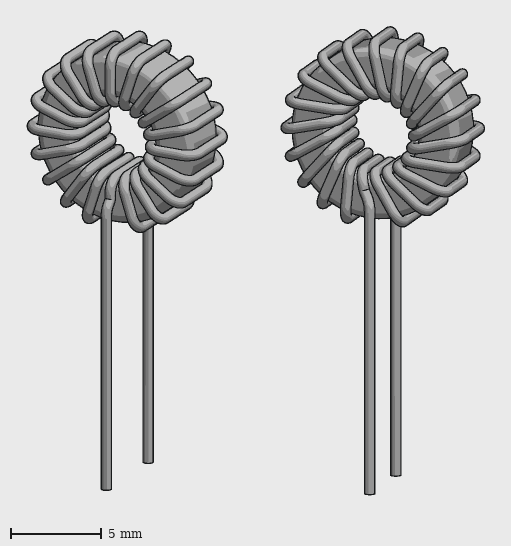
import cadquery as cq
import math

core_diameter = 9.75
bore_diameter = 5.0
core_thickness = 3.45
core_edge_radius = 0.5

wire_diameter = 0.6
turn_positions = 20
first_angle = -90
winding_diameter = 10.95
winding_width = 4.65

overall_height = 25.7
lead_pitch = 5.0
lead_bend_end_z = -4.25
lead_straight = 0.23
lead_start_handle = 0.33
lead_end_handle = 0.72

turn_angle = 360 / turn_positions
wire_radius = wire_diameter / 2
bend_radius = core_edge_radius + wire_radius
inner_radius = bore_diameter / 2 - wire_radius
outer_radius = winding_diameter / 2 - wire_radius
lead_run = bend_radius + lead_straight
face_y = winding_width / 2 - wire_radius
lead_y = lead_pitch / 2
lead_end_z = winding_diameter / 2 - overall_height

point_tolerance = 2.57e-07


def make_core():
    back_face = cq.Workplane("XZ", origin=(0, core_thickness / 2, 0))
    core = back_face.circle(core_diameter / 2).circle(bore_diameter / 2).extrude(core_thickness)
    return core.edges().fillet(core_edge_radius)


def ring_point(radius, angle, y):
    """Point at a polar position about the core axis."""
    turn = math.radians(angle)
    return cq.Vector(radius * math.cos(turn), y, radius * math.sin(turn))


def winding_corners():
    """Sharp corners of the winding: radial on the front face, slanted by one turn on the back."""
    corners = []
    for turn in range(turn_positions):
        angle = first_angle - turn * turn_angle
        if turn > 0:
            corners.append(ring_point(outer_radius, angle, face_y))
            corners.append(ring_point(outer_radius, angle, -face_y))
        corners.append(ring_point(inner_radius, angle, -face_y))
        corners.append(ring_point(inner_radius, angle, face_y))
    return corners


def rounded_path(start, corners, end):
    """Edges from start to end, each square corner replaced by a tangent arc."""
    edges = []
    position = start
    for corner, following in zip(corners, corners[1:] + [end]):
        before = (position - corner).normalized()
        after = (following - corner).normalized()
        arc_start = corner + before * bend_radius
        arc_end = corner + after * bend_radius
        arc_middle = corner + (before + after) * (bend_radius * (1 - math.sqrt(0.5)))
        if (arc_start - position).Length > point_tolerance:
            edges.append(cq.Edge.makeLine(position, arc_start))
        edges.append(cq.Edge.makeThreePointArc(arc_start, arc_middle, arc_end))
        position = arc_end
    if (end - position).Length > point_tolerance:
        edges.append(cq.Edge.makeLine(position, end))
    return edges


def lead_path(start, direction, y):
    """Edges of a lead: a Bezier S-bend away from the core face, then a straight drop."""
    down = cq.Vector(0, 0, -1)
    bend_end = cq.Vector(0, y, lead_bend_end_z)
    start_handle = start + direction * lead_start_handle
    end_handle = bend_end - down * lead_end_handle
    bend = cq.Edge.makeBezier([start, start_handle, end_handle, bend_end])
    drop = cq.Edge.makeLine(bend_end, cq.Vector(0, y, lead_end_z))
    return [bend, drop]


def make_wire():
    corners = winding_corners()
    front_direction = cq.Vector(0, 0, -1)
    back_direction = (ring_point(outer_radius, first_angle, face_y) - corners[-1]).normalized()
    front_start = corners[0] + front_direction * lead_run
    back_start = corners[-1] + back_direction * lead_run

    front_lead = lead_path(front_start, front_direction, -lead_y)
    back_lead = lead_path(back_start, back_direction, lead_y)
    winding = rounded_path(front_start, corners, back_start)
    path = cq.Wire.assembleEdges(front_lead[::-1] + winding + back_lead)

    section = cq.Workplane("XY", origin=(0, -lead_y, lead_end_z)).circle(wire_radius)
    return section.sweep(cq.Workplane(path))


core = make_core()
wire = make_wire()
result = cq.Compound.makeCompound([core.val(), wire.val()])